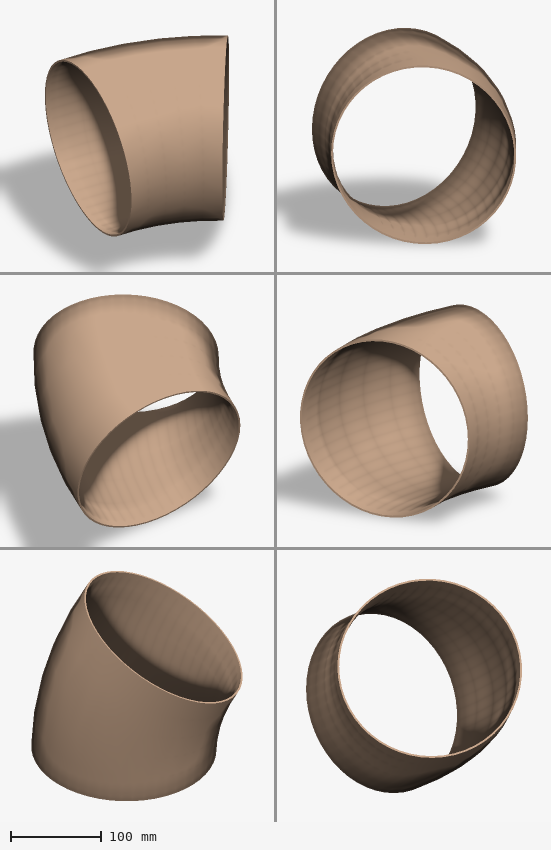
import cadquery as cq
import math

overall_width = 230.5
outer_diameter = 204.0
wall = 2.0
bend_angle = 30.0

outer_radius = outer_diameter / 2
inner_radius = outer_radius - wall

bend_cosine = math.cos(math.radians(bend_angle))
bend_radius = (overall_width - outer_radius * (1 + bend_cosine)) / (1 - bend_cosine)

result = (
    cq.Workplane("XZ")
    .circle(outer_radius)
    .circle(inner_radius)
    .revolve(bend_angle, (bend_radius, 0, 0), (bend_radius, -1, 0))
)